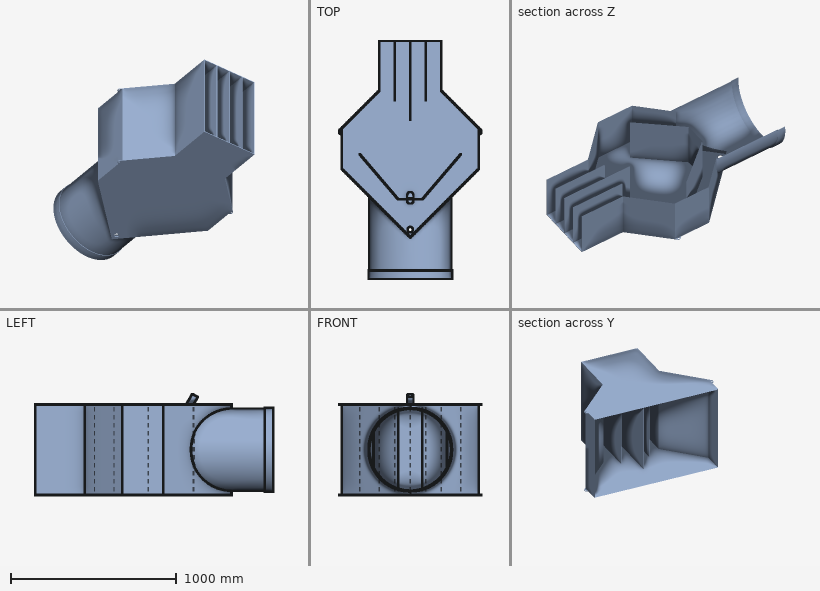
import cadquery as cq
import math


SHEET = 4.0

BOX_HEIGHT = 550.0
BOX_HALF_WIDTH = 415.0
NECK_HALF_WIDTH = 189.0
NECK_START_Y = 890.0
OUTLET_Y = 1190.0
SHOULDER_FRONT_Y = BOX_HALF_WIDTH
SHOULDER_BACK_Y = NECK_START_Y - (BOX_HALF_WIDTH - NECK_HALF_WIDTH)

EAR_HALF_SPAN = 431.0
EAR_BACK_Y = SHOULDER_BACK_Y - (EAR_HALF_SPAN - BOX_HALF_WIDTH)
EAR_FRONT_Y = 633.0
EAR_ROOT_Y = 621.0
EAR_HOLE_DIAMETER = 12.0
EAR_HOLE_X = 424.0
EAR_HOLE_Y = 642.0

CORNER_HOLE_DIAMETER = 32.0
CORNER_HOLE_Y = 50.0

SPIGOT_DIAMETER = 500.0
SPIGOT_BORE = SPIGOT_DIAMETER - 2 * SHEET
COLLAR_DIAMETER = SPIGOT_DIAMETER + 2 * SHEET
INLET_END_Y = 226.0
COLLAR_FRONT_Y = -250.0
COLLAR_LENGTH = 55.0
COLLAR_OVERLAP = 5.0
SPIGOT_FRONT_Y = COLLAR_FRONT_Y + COLLAR_LENGTH - COLLAR_OVERLAP

DEFLECTOR_Y = 231.0
DEFLECTOR_FLAT_HALF_WIDTH = 74.0
DEFLECTOR_HALF_WIDTH = 307.0
DEFLECTOR_END_Y = 504.0

SIDE_SPLITTER_X = NECK_HALF_WIDTH / 2
SIDE_SPLITTER_START_Y = 830.0
MIDDLE_SPLITTER_START_Y = 712.0

STUB_DIAMETER = 40.0
STUB_BORE = 37.33
STUB_TILT = 30.0
STUB_Y = 254.0
STUB_RISE = 62.77


def prism(points, bottom, height):
    """Vertical prism over an outline in the XY plane."""
    return cq.Workplane("XY", origin=(0, 0, bottom)).polyline(points).close().extrude(height)


def cylinder_along_y(diameter, start_y, end_y):
    """Cylinder on the spigot axis."""
    front = cq.Workplane("XZ", origin=(0, start_y, 0))
    return front.circle(diameter / 2).extrude(start_y - end_y)


def mirrored(right_half):
    """Full outline from the points of its right half."""
    return right_half + [(-x, y) for x, y in reversed(right_half) if x > 0]


def box_outline():
    return mirrored([
        (0, 0),
        (BOX_HALF_WIDTH, SHOULDER_FRONT_Y),
        (BOX_HALF_WIDTH, SHOULDER_BACK_Y),
        (NECK_HALF_WIDTH, NECK_START_Y),
        (NECK_HALF_WIDTH, OUTLET_Y),
    ])


def box_solid():
    return prism(box_outline(), -BOX_HEIGHT / 2, BOX_HEIGHT)


def box_cavity():
    """Inside of the box, running out through the open outlet."""
    inner_height = BOX_HEIGHT - 2 * SHEET
    floor = cq.Workplane("XY", origin=(0, 0, -inner_height / 2))
    room = floor.polyline(box_outline()).close().offset2D(-SHEET, "intersection").extrude(inner_height)
    neck_length = OUTLET_Y - NECK_START_Y
    neck = cq.Workplane("XY").box(2 * (NECK_HALF_WIDTH - SHEET), neck_length, inner_height)
    return room.union(neck.translate((0, OUTLET_Y - neck_length / 2, 0)))


def ears():
    """Ears, not yet drilled, at both sides of the top and bottom plates."""
    ear_set = cq.Workplane("XY")
    root_x = BOX_HALF_WIDTH - SHEET
    for side in (-1, 1):
        outline = [
            (side * root_x, EAR_ROOT_Y),
            (side * BOX_HALF_WIDTH, EAR_ROOT_Y),
            (side * EAR_HALF_SPAN, EAR_FRONT_Y),
            (side * EAR_HALF_SPAN, EAR_BACK_Y),
            (side * BOX_HALF_WIDTH, SHOULDER_BACK_Y),
            (side * root_x, SHOULDER_BACK_Y),
        ]
        for bottom in (-BOX_HEIGHT / 2, BOX_HEIGHT / 2 - SHEET):
            ear_set = ear_set.add(prism(outline, bottom, SHEET))
    return ear_set.combine()


def plate_holes():
    """Vertical drills for the ears and the front corner."""
    start = cq.Workplane("XY", origin=(0, 0, -BOX_HEIGHT / 2))
    ear_points = [(-EAR_HOLE_X, EAR_HOLE_Y), (EAR_HOLE_X, EAR_HOLE_Y)]
    ear_drills = start.pushPoints(ear_points).circle(EAR_HOLE_DIAMETER / 2).extrude(BOX_HEIGHT)
    corner_drill = start.center(0, CORNER_HOLE_Y).circle(CORNER_HOLE_DIAMETER / 2).extrude(BOX_HEIGHT)
    return ear_drills.union(corner_drill)


def spigot():
    """Round inlet with its collar, ending on the outer faces of the front walls."""
    pipe = cylinder_along_y(SPIGOT_DIAMETER, SPIGOT_FRONT_Y, SHOULDER_FRONT_Y)
    pipe = pipe.cut(cylinder_along_y(SPIGOT_BORE, SPIGOT_FRONT_Y, SHOULDER_FRONT_Y))
    collar_end_y = COLLAR_FRONT_Y + COLLAR_LENGTH
    collar = cylinder_along_y(COLLAR_DIAMETER, COLLAR_FRONT_Y, collar_end_y)
    collar = collar.cut(cylinder_along_y(SPIGOT_DIAMETER, COLLAR_FRONT_Y, collar_end_y))
    return pipe.cut(box_solid()).solids("<Y").union(collar)


def deflector():
    """Full-height bent sheet: a flat middle with two wings swept back."""
    run_x = DEFLECTOR_HALF_WIDTH - DEFLECTOR_FLAT_HALF_WIDTH
    run_y = DEFLECTOR_END_Y - DEFLECTOR_Y
    wing_angle = math.atan2(run_y, run_x)
    normal_x = SHEET * math.sin(wing_angle)
    normal_y = SHEET * math.cos(wing_angle)
    bend_shift = SHEET * math.tan(wing_angle / 2)
    right_half = [
        (DEFLECTOR_FLAT_HALF_WIDTH, DEFLECTOR_Y),
        (DEFLECTOR_HALF_WIDTH, DEFLECTOR_END_Y),
        (DEFLECTOR_HALF_WIDTH - normal_x, DEFLECTOR_END_Y + normal_y),
        (DEFLECTOR_FLAT_HALF_WIDTH - bend_shift, DEFLECTOR_Y + SHEET),
    ]
    outline = mirrored(right_half)
    return prism(outline, -BOX_HEIGHT / 2 + SHEET, BOX_HEIGHT - 2 * SHEET)


def splitter(x, start_y):
    """Full-height plate along the neck, ending at the outlet."""
    length = OUTLET_Y - start_y
    plate = cq.Workplane("XY").box(SHEET, length, BOX_HEIGHT - 2 * SHEET)
    return plate.translate((x, OUTLET_Y - length / 2, 0))


def stub_cylinder(diameter):
    """Cylinder on the stub axis, from below the top plate to the stub's upper end."""
    tilt = math.radians(STUB_TILT)
    axis = cq.Vector(0, -math.sin(tilt), math.cos(tilt))
    length_above = (STUB_RISE - STUB_DIAMETER / 2 * math.sin(tilt)) / math.cos(tilt)
    length_below = STUB_DIAMETER
    start = cq.Vector(0, STUB_Y, BOX_HEIGHT / 2) - axis * length_below
    solid = cq.Solid.makeCylinder(diameter / 2, length_below + length_above, start, axis)
    return cq.Workplane(obj=solid)


box = box_solid().cut(box_cavity())
box = box.union(ears()).cut(plate_holes())
box = box.cut(cylinder_along_y(SPIGOT_BORE, COLLAR_FRONT_Y, INLET_END_Y))

stub = stub_cylinder(STUB_DIAMETER).cut(box_cavity())
box = box.union(stub).cut(stub_cylinder(STUB_BORE))

plenum = box.union(spigot()).union(deflector())
plenum = plenum.union(splitter(0, MIDDLE_SPLITTER_START_Y))
for splitter_x in (-SIDE_SPLITTER_X, SIDE_SPLITTER_X):
    plenum = plenum.union(splitter(splitter_x, SIDE_SPLITTER_START_Y))

result = cq.Workplane(obj=plenum.solids().val())